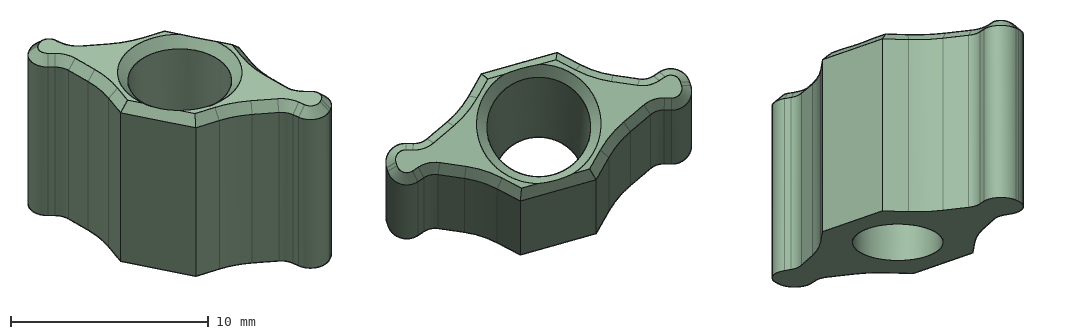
import cadquery as cq
import math

length = 16.0
width = 7.0
height = 10.0

flat_length = 4.0
shoulder_end_x = 2.95
shoulder_angle = math.radians(45)
flank_radius = 5.0
flank_angle = math.radians(25)
flank_end_x = 5.6
neck_radius = 1.0
tip_radius = 1.0
tip_flat = 0.2

edge_chamfer = 0.5
exit_diameter = 4.6
mouth_diameter = 5.25
bore_chamfer = 0.53


def arc_point(center, radius, angle):
    """Point on a circle, with the angle in radians from +X."""
    return (center[0] + radius * math.cos(angle), center[1] + radius * math.sin(angle))


def wing_outline():
    """Outline of one quarter of the body, in +X +Y, from the flat to the tip."""
    corner = (flat_length / 2, width / 2)
    shoulder_drop = (shoulder_end_x - corner[0]) * math.tan(shoulder_angle)
    shoulder_end = (shoulder_end_x, corner[1] - shoulder_drop)

    shoulder_normal = math.pi / 2 - shoulder_angle
    flank_normal = math.pi / 2 - flank_angle
    flank_center = arc_point(shoulder_end, flank_radius, shoulder_normal)
    flank_mid_angle = math.pi + (shoulder_normal + flank_normal) / 2
    flank_mid = arc_point(flank_center, flank_radius, flank_mid_angle)
    flank_start = arc_point(flank_center, flank_radius, math.pi + flank_normal)
    flank_drop = (flank_end_x - flank_start[0]) * math.tan(flank_angle)
    flank_end = (flank_end_x, flank_start[1] - flank_drop)

    neck_center = arc_point(flank_end, neck_radius, flank_normal)
    tip_center = (length / 2 - tip_radius, tip_flat / 2)
    dx = tip_center[0] - neck_center[0]
    dy = tip_center[1] - neck_center[1]
    center_angle = math.atan2(dy, dx)
    tangent_offset = math.acos((neck_radius + tip_radius) / math.hypot(dx, dy))
    neck_end_angle = center_angle - tangent_offset
    neck_start_angle = flank_normal - math.pi
    neck_mid_angle = (neck_start_angle + neck_end_angle) / 2
    tip_start_angle = neck_end_angle + math.pi

    return (
        cq.Workplane("XY")
        .moveTo(0, width / 2)
        .lineTo(*corner)
        .lineTo(*shoulder_end)
        .threePointArc(flank_mid, flank_start)
        .lineTo(*flank_end)
        .threePointArc(
            arc_point(neck_center, neck_radius, neck_mid_angle),
            arc_point(neck_center, neck_radius, neck_end_angle),
        )
        .lineTo(*arc_point(tip_center, tip_radius, tip_start_angle))
        .threePointArc(
            arc_point(tip_center, tip_radius, tip_start_angle / 2),
            (length / 2, tip_flat / 2),
        )
        .lineTo(length / 2, 0)
    )


def make_body():
    """Winged prism with a chamfered top rim."""
    outline = wing_outline().mirrorX().mirrorY()
    return outline.extrude(height).faces(">Z").chamfer(edge_chamfer)


def make_bore():
    """Tapered through hole, narrowest at the base, with a chamfered mouth."""
    exit_radius = exit_diameter / 2
    mouth_radius = mouth_diameter / 2
    profile = [
        (0, 0),
        (exit_radius, 0),
        (mouth_radius, height - bore_chamfer),
        (mouth_radius + bore_chamfer, height),
        (0, height),
    ]
    return cq.Workplane("XZ").polyline(profile).close().revolve(360, (0, 0, 0), (0, 1, 0))


result = make_body().cut(make_bore())